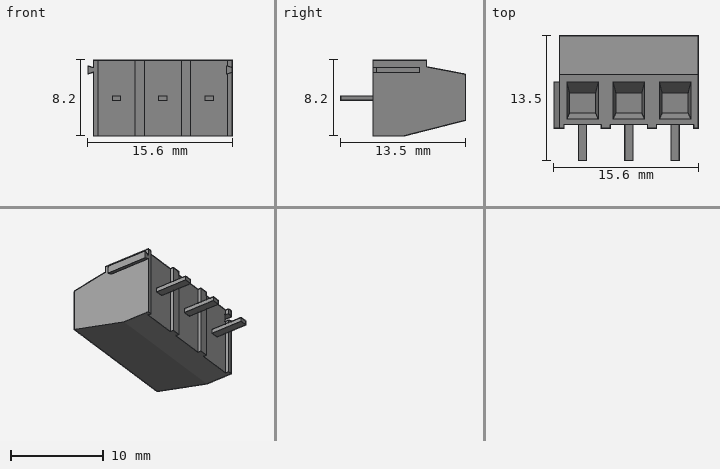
import cadquery as cq


pole_count = 3
pitch = 5.0
length = pole_count * pitch
depth = 10.0
height = 8.2

top_land_depth = 5.8
top_step = 0.7
rear_top_drop = 1.5
rear_bottom_rise = 1.7
bottom_land_depth = 3.3
rear_edge_radius = 0.2

recess_depth = 0.4
recess_width = 4.0

funnel_top_width = 3.4
funnel_top_front = 1.0
funnel_top_rear = 5.0
funnel_floor_width = 2.8
funnel_floor_front = 1.65
funnel_floor_rear = 3.8
funnel_depth = 2.2

pin_width = 0.9
pin_thickness = 0.5
pin_protrusion = 3.5
pin_z = height / 2

dovetail_reach = 0.6
dovetail_neck = 0.5
dovetail_head = 0.9
dovetail_length = 5.0
dovetail_z = height - 1.05

pole_centres = [pitch * (i + 0.5) for i in range(pole_count)]


def make_housing():
    """Side profile extruded along the row, with the rear upper edge rounded."""
    rear_top_z = height - rear_top_drop
    profile = [
        (0, 0),
        (bottom_land_depth, 0),
        (depth, rear_bottom_rise),
        (depth, rear_top_z),
        (top_land_depth, height - top_step),
        (top_land_depth, height),
        (0, height),
    ]
    housing = cq.Workplane("YZ").polyline(profile).close().extrude(length)
    rear_edge = cq.selectors.NearestToPointSelector((length / 2, depth, rear_top_z))
    return housing.edges(rear_edge).fillet(rear_edge_radius)


def make_recess(x):
    """Full-height shallow pocket in the front face of one pole."""
    return cq.Workplane("XY").box(
        recess_width, recess_depth, height, centered=(True, False, False)
    ).translate((x, 0, 0))


def make_funnel(x):
    """Rectangular funnel that narrows from the top face down to its floor."""
    top_size = funnel_top_rear - funnel_top_front
    top_y = (funnel_top_rear + funnel_top_front) / 2
    floor_size = funnel_floor_rear - funnel_floor_front
    floor_y = (funnel_floor_rear + funnel_floor_front) / 2
    return (
        cq.Workplane("XY", origin=(x, top_y, height))
        .rect(funnel_top_width, top_size)
        .workplane(offset=-funnel_depth)
        .center(0, floor_y - top_y)
        .rect(funnel_floor_width, floor_size)
        .loft(ruled=True)
    )


def make_pin(x):
    """Flat pin from the recess floor out past the front face."""
    return cq.Workplane("XY").box(
        pin_width, pin_protrusion + recess_depth, pin_thickness, centered=(True, False, True)
    ).translate((x, -pin_protrusion, pin_z))


def make_dovetail(neck_x):
    """Dovetail bar with its narrow neck at neck_x, widening toward -X."""
    head_x = neck_x - dovetail_reach
    section = [
        (neck_x, dovetail_z - dovetail_neck / 2),
        (neck_x, dovetail_z + dovetail_neck / 2),
        (head_x, dovetail_z + dovetail_head / 2),
        (head_x, dovetail_z - dovetail_head / 2),
    ]
    return cq.Workplane("XZ").polyline(section).close().extrude(-dovetail_length)


body = make_housing()
for centre in pole_centres:
    body = body.cut(make_recess(centre))
    body = body.cut(make_funnel(centre))
    body = body.union(make_pin(centre))

body = body.union(make_dovetail(0))
result = body.cut(make_dovetail(length))